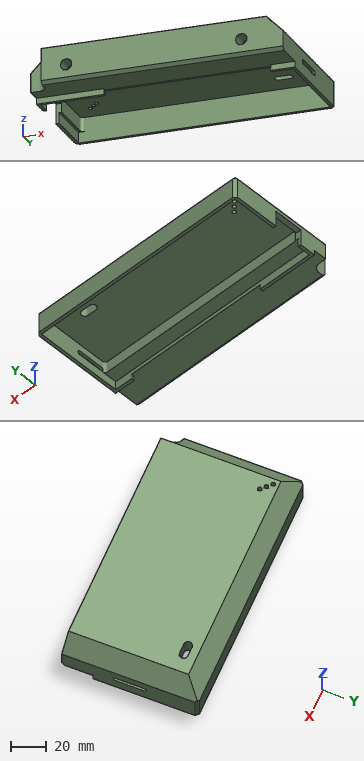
import cadquery as cq
import math

length = 155.0
depth = 83.0
height = 25.0
top_bevel = 10.0
back_corner_chamfer = 2.0
bevel_start = height - top_bevel

corner_notch = 10.0
corner_notch_radius = 5.0

front_step_depth = 19.0
front_step_height = 3.5
front_edge_chamfer = 2.0

rebate_wall = 2.0
rebate_height = 6.5
cavity_left_wall = 3.5
cavity_front = 29.6
cavity_top = bevel_start
cavity_corner_radius = 2.0
lip_opening_start = 40.5
lip_opening_end = 140.5

left_opening_front = 30.0
left_opening_width = 20.0
left_opening_height = 12.0
right_slot_length = 20.0
right_slot_height = 2.5
right_slot_tip = 31.4
right_slot_level = 8.35

vent_diameter = 2.5
vent_count = 3
vent_first_x = 13.35
vent_first_y = 69.7
vent_step = 2.9
top_slot_length = 11.2
top_slot_width = 5.0
top_slot_x = 131.0
top_slot_y = 65.5

socket_diameter = 6.65
socket_depth = 10.0
socket_tip_angle = 118.0
socket_positions = (25.0, 130.0)
socket_level = 13.25


def box(x_range, y_range, z_range):
    """Box between the given limits along each axis."""
    corner = (x_range[0], y_range[0], z_range[0])
    size_x = x_range[1] - x_range[0]
    size_y = y_range[1] - y_range[0]
    size_z = z_range[1] - z_range[0]
    return cq.Workplane("XY", origin=corner).box(size_x, size_y, size_z, centered=False)


def outer_body():
    """Block bevelled along the top left, right and back edges, with its back corners chamfered."""
    end_outline = (
        cq.Workplane("XZ")
        .polyline([
            (0, 0),
            (length, 0),
            (length, bevel_start),
            (length - top_bevel, height),
            (top_bevel, height),
            (0, bevel_start),
        ])
        .close()
        .extrude(-depth)
    )
    side_outline = (
        cq.Workplane("YZ")
        .polyline([
            (front_step_depth, 0),
            (depth, 0),
            (depth, bevel_start),
            (depth - top_bevel, height),
            (0, height),
            (0, front_step_height + front_edge_chamfer),
            (front_edge_chamfer, front_step_height),
            (front_step_depth, front_step_height),
        ])
        .close()
        .extrude(length)
    )
    plan = (
        box((0, length), (0, depth), (0, height))
        .edges("|Z and >Y")
        .chamfer(back_corner_chamfer)
    )
    return end_outline.intersect(side_outline).intersect(plan)


def corner_cutter():
    """Square notch whose inner corner is rounded."""
    return (
        box((0, corner_notch), (0, corner_notch), (0, height))
        .edges("|Z and >X and >Y")
        .fillet(corner_notch_radius)
    )


def interior_cutter():
    """Base plate rebate with a smaller round-cornered cavity above, and the gap in the front lip."""
    rebate = box(
        (rebate_wall, length - rebate_wall),
        (front_step_depth + rebate_wall, depth - rebate_wall),
        (0, rebate_height),
    )
    cavity = (
        box(
            (cavity_left_wall, length - rebate_wall),
            (cavity_front, depth - rebate_wall),
            (0, cavity_top),
        )
        .edges("|Z")
        .fillet(cavity_corner_radius)
    )
    lip_gap = box(
        (lip_opening_start, lip_opening_end),
        (front_step_depth, front_step_depth + rebate_wall),
        (0, front_step_height),
    )
    return rebate.union(cavity).union(lip_gap)


def left_opening_cutter():
    """Rectangular opening through the left wall into the cavity."""
    return box(
        (0, cavity_left_wall + cavity_corner_radius),
        (left_opening_front, left_opening_front + left_opening_width),
        (0, left_opening_height),
    )


def right_slot_cutter():
    """Round-ended horizontal slot through the right wall."""
    return (
        cq.Workplane("YZ", origin=(length, right_slot_tip + right_slot_length / 2, right_slot_level))
        .slot2D(right_slot_length, right_slot_height)
        .extrude(-(rebate_wall + cavity_corner_radius))
    )


def top_cutters():
    """Diagonal row of vents and a round-ended slot, all reaching the cavity."""
    vent_points = [
        (vent_first_x + i * vent_step, vent_first_y - i * vent_step)
        for i in range(vent_count)
    ]
    top_plane = cq.Workplane("XY", origin=(0, 0, height))
    top_thickness = height - cavity_top
    vents = top_plane.pushPoints(vent_points).circle(vent_diameter / 2).extrude(-top_thickness)
    slot = (
        top_plane.center(top_slot_x, top_slot_y)
        .slot2D(top_slot_length, top_slot_width)
        .extrude(-top_thickness)
    )
    return vents.union(slot)


def socket_cutter(x):
    """Drilled hole with a conical end, entering the front face at the given place along the length."""
    radius = socket_diameter / 2
    inward = cq.Vector(0, 1, 0)
    tip_length = radius / math.tan(math.radians(socket_tip_angle / 2))
    bore = cq.Solid.makeCylinder(radius, socket_depth, cq.Vector(x, 0, socket_level), inward)
    tip = cq.Solid.makeCone(radius, 0, tip_length, cq.Vector(x, socket_depth, socket_level), inward)
    return cq.Workplane(bore).union(cq.Workplane(tip))


result = (
    outer_body()
    .cut(corner_cutter())
    .cut(interior_cutter())
    .cut(left_opening_cutter())
    .cut(right_slot_cutter())
    .cut(top_cutters())
)
for socket_x in socket_positions:
    result = result.cut(socket_cutter(socket_x))